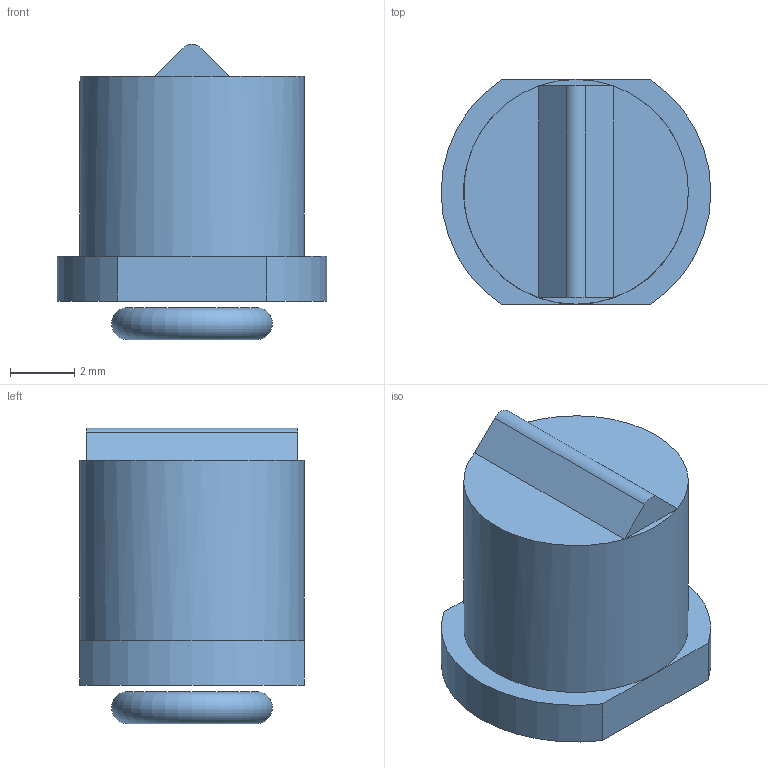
import cadquery as cq
import math

barrel_radius = 3.5
barrel_height = 5.6
flange_radius = 4.2
flange_height = 1.4
flange_width = 2 * barrel_radius

ridge_height = 1.0
crest_radius = 0.4
slope_angle = math.radians(45)
crest_drop = crest_radius * (1 / math.cos(slope_angle) - 1)
sharp_height = ridge_height + crest_drop
ridge_half_width = sharp_height / math.tan(slope_angle)
ridge_half_length = math.sqrt(barrel_radius**2 - ridge_half_width**2)

ring_outer_radius = 2.5
ring_section_radius = 0.5
ring_centre_radius = ring_outer_radius - ring_section_radius
ring_gap = 0.2

flange_bottom = 2 * ring_section_radius + ring_gap
flange_top = flange_bottom + flange_height
barrel_top = flange_top + barrel_height


def make_flange():
    """Disc trimmed by two flats facing -Y and +Y."""
    base = cq.Workplane("XY", origin=(0, 0, flange_bottom))
    disc = base.circle(flange_radius).extrude(flange_height)
    slab = base.rect(2 * flange_radius, flange_width).extrude(flange_height)
    return disc.intersect(slab)


def make_barrel():
    """Cylinder on top of the flange."""
    return cq.Workplane("XY", origin=(0, 0, flange_top)).circle(barrel_radius).extrude(barrel_height)


def make_ridge():
    """Triangular bar with its crest rounded, centred on the barrel top."""
    bar = (
        cq.Workplane("XZ", origin=(0, 0, barrel_top))
        .moveTo(-ridge_half_width, 0)
        .lineTo(ridge_half_width, 0)
        .lineTo(0, sharp_height)
        .close()
        .extrude(ridge_half_length, both=True)
    )
    return bar.edges("|Y and >Z").fillet(crest_radius)


def make_plunger():
    """Flange, barrel and ridge joined into one solid."""
    return make_flange().union(make_barrel()).union(make_ridge())


def make_ring():
    """Round section revolved around the Z axis."""
    section = cq.Workplane("XZ").center(ring_centre_radius, ring_section_radius)
    section = section.circle(ring_section_radius)
    return section.revolve(360, (-ring_centre_radius, 0), (-ring_centre_radius, 1))


plunger = make_plunger()
ring = make_ring()

result = cq.Compound.makeCompound([plunger.solids().val(), ring.val()])